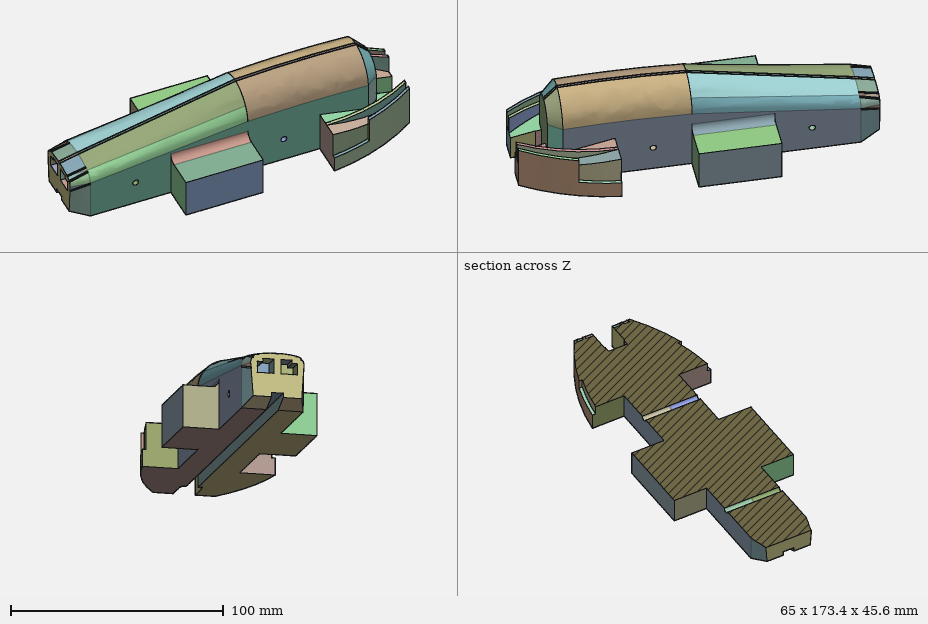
import cadquery as cq
import math

total_length = 173.4
pod_span = 65.0
body_width = 30.0
body_half_width = body_width / 2

nose_length = 9.5
slope_end = 90.3
crest = 121.4
tail_chamfer_start = 152.2
body_end = 158.7

nose_tip_top = 25.1
nose_root_top = 27.4
slope_end_top = 44.4
crest_top = 45.6
tail_top = 45.0
body_end_top = 38.7

nose_tip_shoulder = 20.0
nose_root_shoulder = 20.6
slope_end_shoulder = 30.5
crest_shoulder = 31.4
tail_shoulder = 30.9
body_end_shoulder = 30.5

nose_tip_crown_edge = (9.5, 24.3)
nose_root_crown_edge = (11.3, 25.8)
slope_end_crown_edge = (12.3, 38.1)

nose_tip_half_width = 13.0
nose_tip_base = (11.8, 3.8)
tail_end_half_width = 9.7

seam_width = 1.4
seam_depth = 0.3

channel_width = 5.7
channel_height = 5.9
hole_diameter = 3.0
hole_height = 12.7
hole_stations = (32.8, 108.9)
window_inner = 1.7
window_outer = 9.7
window_bottom = 15.3
window_top = 22.2
window_step_width = 2.6
window_step_height = 1.5
window_depth = 8.7

pod_front = 50.8
pod_length = 39.7
pod_height = 20.5
pod_fillet = 3.8

fin_front = 127.3
fin_height = 21.5
fin_floor_slope = 0.2
fin_floor_drop = fin_floor_slope * (total_length - fin_front)
fin_wall = 1.7
fin_gap_half = 5.4
lip_thickness = 0.3
lip_end = 161.5
fin_panel_end = 147.0
fin_panel_bottom = 8.3
outer_curve = ((32.3, fin_front), (28.0, fin_panel_end), (15.0, total_length))
inner_curve = ((23.2, fin_front), (19.8, 152.5), (10.5, total_length))


def body_section(y, top, shoulder, crown_edge, half_width=body_half_width, base=(body_half_width, 0.0)):
    """Closed outline at station y: flat bottom, straight sides, rounded shoulders, arched crown.

    shoulder is a height; crown_edge and base are (x, z) corners of the right half.
    """
    crown_x, crown_z = crown_edge
    base_x, base_z = base
    run = half_width - crown_x
    rise = crown_z - shoulder
    radius = (run**2 + rise**2) / (2 * run)
    half_angle = math.atan2(rise, radius - run) / 2
    middle_x = half_width - radius * (1 - math.cos(half_angle))
    middle_z = shoulder + radius * math.sin(half_angle)
    return (
        cq.Workplane("XZ", origin=(0, y, 0))
        .moveTo(-base_x, base_z)
        .lineTo(base_x, base_z)
        .lineTo(half_width, shoulder)
        .threePointArc((middle_x, middle_z), crown_edge)
        .threePointArc((0, top), (-crown_x, crown_z))
        .threePointArc((-middle_x, middle_z), (-half_width, shoulder))
        .close()
        .val()
    )


def arched_section(y, top, shoulder, half_width=body_half_width):
    """Closed outline at station y: flat bottom, straight sides and a single arc on top."""
    return (
        cq.Workplane("XZ", origin=(0, y, 0))
        .moveTo(-half_width, 0)
        .lineTo(half_width, 0)
        .lineTo(half_width, shoulder)
        .threePointArc((0, top), (-half_width, shoulder))
        .close()
        .val()
    )


def loft(sections, ruled=True):
    """Solid through the sections, with straight rulings or one smooth skin."""
    return cq.Workplane(cq.Solid.makeLoft(sections, ruled))


nose_tip = body_section(
    0, nose_tip_top, nose_tip_shoulder, nose_tip_crown_edge, nose_tip_half_width, nose_tip_base
)
nose_root = body_section(nose_length, nose_root_top, nose_root_shoulder, nose_root_crown_edge)
slope_section = body_section(slope_end, slope_end_top, slope_end_shoulder, slope_end_crown_edge)
rear_start = arched_section(slope_end, slope_end_top, slope_end_shoulder)
crest_section = arched_section(crest, crest_top, crest_shoulder)
tail_section = arched_section(tail_chamfer_start, tail_top, tail_shoulder)
end_section = arched_section(body_end, body_end_top, body_end_shoulder, tail_end_half_width)

body = (
    loft([nose_tip, nose_root])
    .union(loft([nose_root, slope_section]))
    .union(loft([rear_start, crest_section, tail_section], ruled=False))
    .union(loft([tail_section, end_section]))
)


def seam_cutter():
    """Strip from just below the ridge to well above the body."""
    clear_height = 2 * crest_top
    return (
        cq.Workplane("YZ")
        .moveTo(0, clear_height)
        .lineTo(0, nose_tip_top - seam_depth)
        .lineTo(nose_length, nose_root_top - seam_depth)
        .lineTo(slope_end, slope_end_top - seam_depth)
        .threePointArc((crest, crest_top - seam_depth), (tail_chamfer_start, tail_top - seam_depth))
        .lineTo(body_end, body_end_top - seam_depth)
        .lineTo(body_end, clear_height)
        .close()
        .extrude(seam_width / 2, both=True)
    )


nose_seam_size = 0.7
nose_seam_paths = (
    ((9.5, 24.3), (9.5, 26.4)),
    ((12.0, 22.7), (12.0, 25.5)),
    ((13.0, 17.3), (body_half_width, 20.1)),
)


def nose_seam(tip, root):
    """Square bar centred on the nose surface, so that half of it cuts in."""
    ends = [
        cq.Workplane("XZ", origin=(x, y, z)).rect(nose_seam_size, nose_seam_size).val()
        for y, (x, z) in ((0, tip), (nose_length, root))
    ]
    return loft(ends)


def side_pod():
    blend_x = body_half_width + pod_fillet
    blend_z = pod_height + pod_fillet
    bend = pod_fillet * math.sqrt(0.5)
    return (
        cq.Workplane("XZ", origin=(0, pod_front, 0))
        .lineTo(pod_span / 2, 0)
        .lineTo(pod_span / 2, pod_height)
        .lineTo(blend_x, pod_height)
        .threePointArc((blend_x - bend, blend_z - bend), (body_half_width, blend_z))
        .lineTo(0, blend_z)
        .close()
        .extrude(-pod_length)
    )


def inside_curve(curve, offset, height):
    """Solid between the stepped central gap and a curved edge moved inward by offset."""
    lip_x = fin_gap_half - lip_thickness
    front, middle, rear = [(x - offset, y) for x, y in curve]
    return (
        cq.Workplane("XY")
        .moveTo(lip_x, fin_front)
        .lineTo(*front)
        .threePointArc(middle, rear)
        .lineTo(fin_gap_half, total_length)
        .lineTo(fin_gap_half, lip_end)
        .lineTo(lip_x, lip_end)
        .close()
        .extrude(height)
    )


def curved_wall(curve):
    """Upright wall of even thickness along the inner side of a curved edge."""
    return inside_curve(curve, 0, fin_height).cut(inside_curve(curve, fin_wall, fin_height))


def tail_fin():
    floor_space = (
        cq.Workplane("YZ")
        .moveTo(fin_front, fin_height)
        .lineTo(total_length, fin_height - fin_floor_drop)
        .lineTo(total_length, fin_height)
        .close()
        .extrude(pod_span / 2)
    )
    outer_wall = curved_wall(outer_curve)
    fin = inside_curve(outer_curve, 0, fin_height).cut(floor_space)
    fin = fin.union(outer_wall).union(curved_wall(inner_curve))
    panel = cq.Workplane("XY").box(
        pod_span / 2, fin_panel_end - fin_front, fin_height - fin_panel_bottom, centered=False
    ).translate((0, fin_front, fin_panel_bottom))
    return fin.cut(panel.intersect(outer_wall))


def nose_window():
    step_x = window_outer - window_step_width
    step_z = window_top - window_step_height
    return (
        cq.Workplane("XZ")
        .moveTo(window_inner, window_bottom)
        .lineTo(window_outer, window_bottom)
        .lineTo(window_outer, step_z)
        .lineTo(step_x, step_z)
        .lineTo(step_x, window_top)
        .lineTo(window_inner, window_top)
        .close()
        .extrude(-window_depth)
    )


def both_sides(shape):
    """The right-hand shape together with its mirror image on the left."""
    return shape.union(shape.mirror("YZ"))


keel_channel = cq.Workplane("XY").box(
    channel_width, total_length, channel_height, centered=(True, False, False)
)
cross_holes = (
    cq.Workplane("YZ")
    .pushPoints([(y, hole_height) for y in hole_stations])
    .circle(hole_diameter / 2)
    .extrude(pod_span / 2, both=True)
)

nose_seams = cq.Workplane("XY")
for tip, root in nose_seam_paths:
    nose_seams = nose_seams.add(nose_seam(tip, root))
nose_seams = nose_seams.combine()

result = (
    body.union(both_sides(side_pod()))
    .union(both_sides(tail_fin()))
    .cut(seam_cutter())
    .cut(both_sides(nose_seams))
    .cut(both_sides(nose_window()))
    .cut(keel_channel)
    .cut(cross_holes)
)